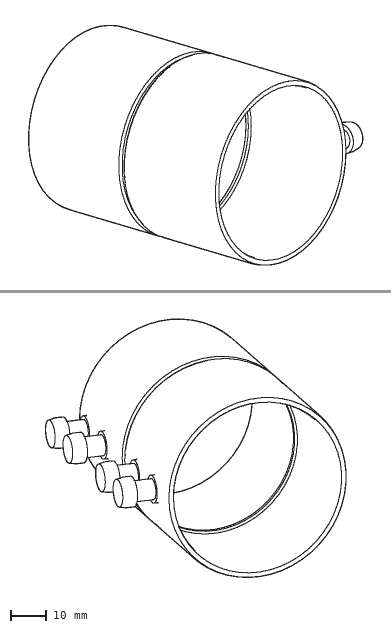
import cadquery as cq

length = 73.4
outer_diameter = 54.1
bore_diameter = 50.4
end_chamfer_length = 0.9
end_chamfer_depth = 0.2

groove_diameter = 52.5
groove_mouth_width = 2.05
groove_floor_width = 0.95
ridge_diameter = 49.2

screw_offsets = (13.35, 27.75)
overall_depth = 66.0
shank_diameter = 6.0
head_diameter = 8.8
head_tip_diameter = 8.0
head_length = 4.3
head_taper_length = 2.05
collar_diameter = 8.0
collar_top_y = 28.55
collar_fillet = 0.9

outer_radius = outer_diameter / 2
bore_radius = bore_diameter / 2
ridge_radius = ridge_diameter / 2
groove_radius = groove_diameter / 2
wall_middle = (outer_radius + bore_radius) / 2
screw_tip_y = overall_depth - outer_radius


def make_sleeve():
    """Revolve the tube wall, including its groove, ridge and end chamfers."""
    end = length / 2
    land_end = end - end_chamfer_length
    mouth = groove_mouth_width / 2
    floor = groove_floor_width / 2
    profile = (
        cq.Workplane("XY")
        .moveTo(-end, bore_radius + end_chamfer_depth)
        .lineTo(-end, outer_radius - end_chamfer_depth)
        .lineTo(-land_end, outer_radius)
        .lineTo(-mouth, outer_radius)
        .lineTo(-floor, groove_radius)
        .lineTo(floor, groove_radius)
        .lineTo(mouth, outer_radius)
        .lineTo(land_end, outer_radius)
        .lineTo(end, outer_radius - end_chamfer_depth)
        .lineTo(end, bore_radius + end_chamfer_depth)
        .lineTo(land_end, bore_radius)
        .lineTo(mouth, bore_radius)
        .lineTo(floor, ridge_radius)
        .lineTo(-floor, ridge_radius)
        .lineTo(-mouth, bore_radius)
        .lineTo(-land_end, bore_radius)
        .close()
    )
    return profile.revolve(360, (0, 0, 0), (1, 0, 0))


def cylinder_along_y(x, diameter, y_start, y_end):
    solid = cq.Solid.makeCylinder(
        diameter / 2, y_end - y_start, cq.Vector(x, y_start, 0), cq.Vector(0, 1, 0)
    )
    return cq.Workplane(obj=solid)


def make_collar(x):
    """Boss rooted in the wall; its bottom follows the middle of the wall."""
    boss = cylinder_along_y(x, collar_diameter, 0, collar_top_y)
    core = cq.Workplane("YZ").circle(wall_middle).extrude(length / 2, both=True)
    return boss.cut(core)


def make_screw(x):
    """Shank standing on the collar, with a head tapering towards its tip."""
    head_base_y = screw_tip_y - head_length
    taper_base_y = screw_tip_y - head_taper_length
    shank = cylinder_along_y(x, shank_diameter, collar_top_y, head_base_y)
    head = cylinder_along_y(x, head_diameter, head_base_y, taper_base_y)
    taper = cq.Solid.makeCone(
        head_diameter / 2,
        head_tip_diameter / 2,
        head_taper_length,
        cq.Vector(x, taper_base_y, 0),
        cq.Vector(0, 1, 0),
    )
    return shank.union(head).union(cq.Workplane(obj=taper))


screw_positions = [side * offset for side in (-1, 1) for offset in screw_offsets]

result = make_sleeve()
for x in screw_positions:
    result = result.union(make_collar(x))

root_margin = 0.15
root_reach = collar_diameter / 2 + root_margin
for x in screw_positions:
    root_zone = cq.selectors.BoxSelector(
        (x - root_reach, wall_middle, -root_reach),
        (x + root_reach, outer_radius + root_margin, root_reach),
        boundingbox=True,
    )
    result = result.edges(root_zone).fillet(collar_fillet)

for x in screw_positions:
    result = result.union(make_screw(x))